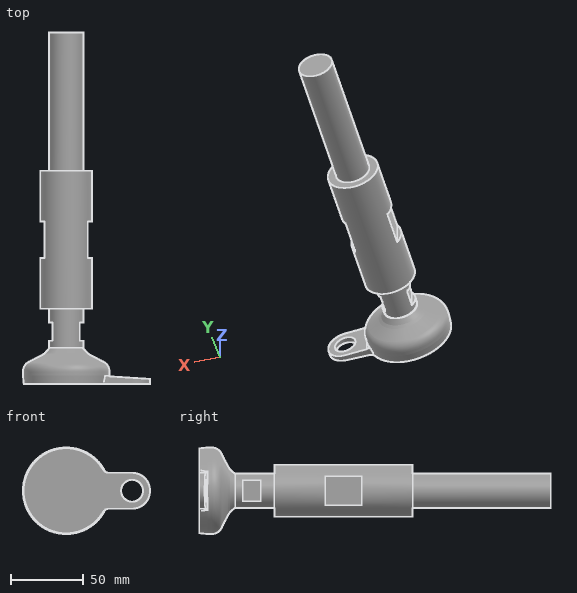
import cadquery as cq
import math


SPINDLE_RADIUS = 12.0
SPINDLE_START = 25.0
SPINDLE_END = 243.0

SLEEVE_RADIUS = 18.0
SLEEVE_START = 52.0
SLEEVE_LENGTH = 95.5

SLEEVE_ACROSS_FLATS = 30.0
SLEEVE_FLAT_LENGTH = 25.0
NECK_ACROSS_FLATS = 19.0
NECK_FLAT_LENGTH = 12.5
NECK_FLAT_START = 30.0

FOOT_RADIUS = 30.0
SOLE_RADIUS = 29.4
SOLE_EDGE_HEIGHT = 5.9
RIM_HEIGHT = 8.8
SHOULDER_RADIUS = 7.5
SHOULDER_SLOPE = math.radians(28.0)
LIP_RADIUS = 17.2
LIP_HEIGHT = 19.9
RING_BASE_RADIUS = 15.0
RING_BASE_HEIGHT = 21.3
RING_TOP_RADIUS = 11.6

LUG_RADIUS = 12.5
LUG_REACH = 58.0
LUG_HOLE_RADIUS = 7.5
LUG_ROOT_THICKNESS = 5.5
LUG_TIP_THICKNESS = 3.7
LUG_BLEND_RADIUS = 5.0


def cylinder_along_y(radius, start, length):
    return cq.Workplane("XZ", origin=(0, start, 0)).circle(radius).extrude(-length)


def cut_wrench_flats(body, body_radius, across_flats, start, length):
    """Cut a pair of opposite flats into a round body."""
    block_width = 2 * body_radius
    block_offset = (across_flats + block_width) / 2
    for side in (-1, 1):
        block = cq.Workplane("XY").box(block_width, length, block_width)
        body = body.cut(block.translate((side * block_offset, start + length / 2, 0)))
    return body


def make_spindle():
    rod = cylinder_along_y(SPINDLE_RADIUS, SPINDLE_START, SPINDLE_END - SPINDLE_START)
    return cut_wrench_flats(rod, SPINDLE_RADIUS, NECK_ACROSS_FLATS, NECK_FLAT_START, NECK_FLAT_LENGTH)


def make_sleeve():
    """Tube that fits over the spindle, with wrench flats at the middle of its length."""
    tube = cylinder_along_y(SLEEVE_RADIUS, SLEEVE_START, SLEEVE_LENGTH)
    bore = cylinder_along_y(SPINDLE_RADIUS, SLEEVE_START, SLEEVE_LENGTH)
    flat_start = SLEEVE_START + (SLEEVE_LENGTH - SLEEVE_FLAT_LENGTH) / 2
    return cut_wrench_flats(
        tube.cut(bore), SLEEVE_RADIUS, SLEEVE_ACROSS_FLATS, flat_start, SLEEVE_FLAT_LENGTH
    )


def make_foot_plate():
    """Revolved plate: tapered sole, rounded shoulder, sloping top and conical ring."""

    def shoulder_point(angle):
        """Point on the shoulder arc, with the angle measured up from the rim."""
        return (
            FOOT_RADIUS - SHOULDER_RADIUS * (1 - math.cos(angle)),
            RIM_HEIGHT + SHOULDER_RADIUS * math.sin(angle),
        )

    arc_end = math.pi / 2 - SHOULDER_SLOPE
    return (
        cq.Workplane("XY")
        .lineTo(SOLE_RADIUS, 0)
        .lineTo(FOOT_RADIUS, SOLE_EDGE_HEIGHT)
        .lineTo(FOOT_RADIUS, RIM_HEIGHT)
        .threePointArc(shoulder_point(arc_end / 2), shoulder_point(arc_end))
        .lineTo(LIP_RADIUS, LIP_HEIGHT)
        .lineTo(RING_BASE_RADIUS, RING_BASE_HEIGHT)
        .lineTo(RING_TOP_RADIUS, SPINDLE_START)
        .lineTo(0, SPINDLE_START)
        .close()
        .revolve(360, (0, 0, 0), (0, 1, 0))
    )


def make_lug():
    """Round-ended lug that blends into the plate and thins towards its tip."""
    eye_x = LUG_REACH - LUG_RADIUS

    blend_z = LUG_RADIUS + LUG_BLEND_RADIUS
    blend_distance = SOLE_RADIUS + LUG_BLEND_RADIUS
    blend_x = math.sqrt(blend_distance**2 - blend_z**2)
    touch_x = blend_x * SOLE_RADIUS / blend_distance
    touch_z = blend_z * SOLE_RADIUS / blend_distance
    middle_angle = (math.atan2(blend_z, blend_x) + math.pi / 2) / 2
    middle_x = blend_x - LUG_BLEND_RADIUS * math.cos(middle_angle)
    middle_z = blend_z - LUG_BLEND_RADIUS * math.sin(middle_angle)

    outline = (
        cq.Workplane("XZ")
        .lineTo(touch_x, touch_z)
        .threePointArc((middle_x, middle_z), (blend_x, LUG_RADIUS))
        .lineTo(eye_x, LUG_RADIUS)
        .threePointArc((LUG_REACH, 0), (eye_x, -LUG_RADIUS))
        .lineTo(blend_x, -LUG_RADIUS)
        .threePointArc((middle_x, -middle_z), (touch_x, -touch_z))
        .close()
        .extrude(-SOLE_EDGE_HEIGHT)
    )
    hole = cylinder_along_y(LUG_HOLE_RADIUS, 0, SOLE_EDGE_HEIGHT).translate((eye_x, 0, 0))

    taper = (
        cq.Workplane("XY")
        .lineTo(LUG_REACH, 0)
        .lineTo(LUG_REACH, LUG_TIP_THICKNESS)
        .lineTo(blend_x, LUG_ROOT_THICKNESS)
        .lineTo(blend_x, SOLE_EDGE_HEIGHT)
        .lineTo(0, SOLE_EDGE_HEIGHT)
        .close()
        .extrude(blend_z, both=True)
    )
    return outline.intersect(taper).cut(hole)


def make_foot():
    """Plate, lug and spindle as one solid."""
    return make_foot_plate().union(make_lug()).union(make_spindle())


foot = make_foot()
sleeve = make_sleeve()

result = cq.Compound.makeCompound([foot.solids().val(), sleeve.solids().val()])